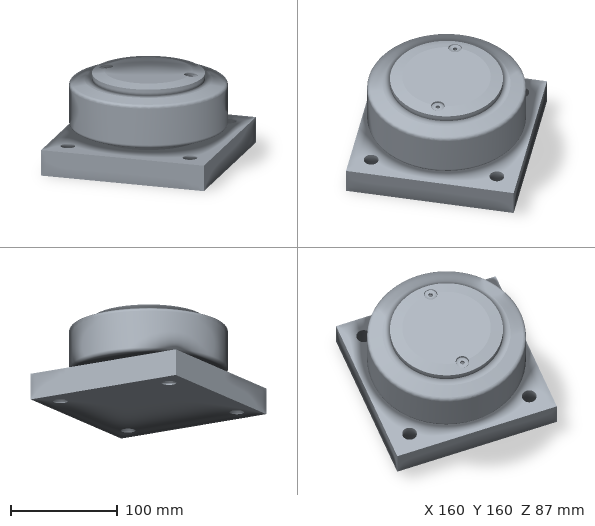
import cadquery as cq
import math

plate_side = 160.0
plate_thickness = 25.0
corner_hole_diameter = 13.8
corner_hole_pitch = 120.0

total_height = 87.0
neck_diameter = 103.0
ring_diameter = 148.8
ring_bottom = 33.6
ring_top = 78.7
ring_flat_diameter = 120.0
ring_slope = math.radians(14)
ring_edge_radius = 3.2
disc_diameter = 106.0
disc_edge_height = 84.6
disc_flat_diameter = 82.9

screw_pitch = disc_flat_diameter
recess_diameter = 12.5
recess_depth = 3.2
head_diameter = 11.7
head_height = 1.6
socket_across_corners = 4.6
socket_depth = 2.2


def make_plate():
    """Base plate with its underside at Z = 0 and through holes at the corners."""
    return (
        cq.Workplane("XY")
        .box(plate_side, plate_side, plate_thickness, centered=(True, True, False))
        .faces(">Z")
        .workplane()
        .rect(corner_hole_pitch, corner_hole_pitch, forConstruction=True)
        .vertices()
        .hole(corner_hole_diameter)
    )


def make_neck():
    """Cylinder joining the plate to the ring."""
    return (
        cq.Workplane("XY")
        .workplane(offset=plate_thickness)
        .circle(neck_diameter / 2)
        .extrude(ring_bottom - plate_thickness)
    )


def make_ring():
    """Wide ring with a sloping shoulder and rounded outer edges."""
    outer = ring_diameter / 2
    flat = ring_flat_diameter / 2
    shoulder = ring_top - (outer - flat) * math.tan(ring_slope)
    ring = (
        cq.Workplane("XZ")
        .moveTo(0, ring_bottom)
        .lineTo(outer, ring_bottom)
        .lineTo(outer, shoulder)
        .lineTo(flat, ring_top)
        .lineTo(0, ring_top)
        .close()
        .revolve(360, (0, 0), (0, 1))
    )
    at_outer_side = cq.selectors.BoxSelector(
        (-plate_side, -plate_side, shoulder - ring_edge_radius),
        (plate_side, plate_side, shoulder + ring_edge_radius / 2),
        boundingbox=True,
    )
    return ring.edges("<Z").fillet(ring_edge_radius).edges(at_outer_side).fillet(ring_edge_radius)


def make_disc():
    """Top disc with a conical rim around its flat centre."""
    return (
        cq.Workplane("XZ")
        .moveTo(0, ring_top)
        .lineTo(disc_diameter / 2, ring_top)
        .lineTo(disc_diameter / 2, disc_edge_height)
        .lineTo(disc_flat_diameter / 2, total_height)
        .lineTo(0, total_height)
        .close()
        .revolve(360, (0, 0), (0, 1))
    )


def add_screw(body, x):
    """Sink a round recess at x and seat a socket-head screw in it."""
    floor = total_height - recess_depth
    recess = cq.Workplane("XY", origin=(x, 0, floor)).circle(recess_diameter / 2).extrude(recess_depth)
    head = cq.Workplane("XY", origin=(x, 0, floor)).circle(head_diameter / 2).extrude(head_height)
    socket = (
        cq.Workplane("XY", origin=(x, 0, floor + head_height - socket_depth))
        .polygon(6, socket_across_corners)
        .extrude(socket_depth)
    )
    return body.cut(recess).union(head).cut(socket)


result = make_plate().union(make_neck()).union(make_ring()).union(make_disc())
for side in (-1, 1):
    result = add_screw(result, side * screw_pitch / 2)